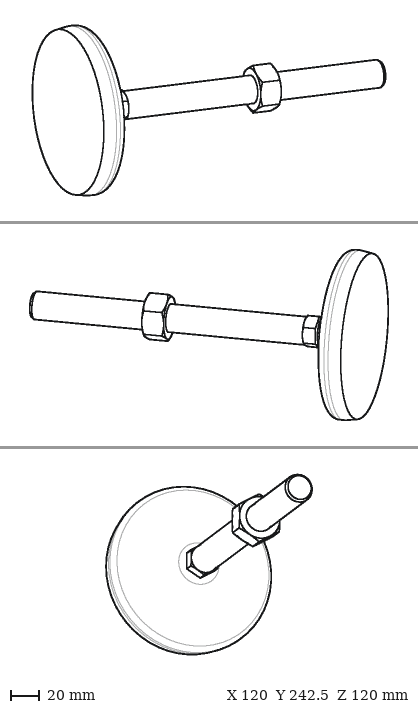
import cadquery as cq
import math


foot_radius = 60.0
sole_radius = 58.5
taper_height = 9.0
rim_height = 12.0
shoulder_radius = 56.5
shoulder_height = 17.0
crown_radius = 15.0
crown_height = 29.5
cone_sag = 2.6
top_radius = 6.5
foot_height = 32.0

neck_radius = 5.0
rod_radius = 10.0
rod_length = 200.0
rod_chamfer_depth = 1.4
rod_chamfer_length = 2.0
total_length = 242.5
rod_start = total_length - rod_length

spanner_flats = 20.0
spanner_height = 9.5
nut_flats = 30.0
nut_height = 16.0
nut_start = 142.5
hex_chamfer_angle = 30.0
hex_sides = 6
half_sector = 180.0 / hex_sides


def revolve_about_y(profile):
    return profile.close().revolve(360, (0, 0, 0), (0, 1, 0))


def make_foot():
    rim = (foot_radius, rim_height)
    shoulder = (shoulder_radius, shoulder_height)
    crown = (crown_radius, crown_height)
    top = (top_radius, foot_height)

    cone_run = shoulder_radius - crown_radius
    cone_rise = crown_height - shoulder_height
    cone_chord = math.hypot(cone_run, cone_rise)
    cone_middle = (
        (shoulder_radius + crown_radius) / 2 - cone_sag * cone_rise / cone_chord,
        (shoulder_height + crown_height) / 2 - cone_sag * cone_run / cone_chord,
    )

    profile = (
        cq.Workplane("XY")
        .lineTo(sole_radius, 0)
        .lineTo(foot_radius, taper_height)
        .lineTo(*rim)
        .tangentArcPoint(shoulder, relative=False)
        .threePointArc(cone_middle, crown)
        .tangentArcPoint(top, relative=False)
        .lineTo(0, foot_height)
    )
    return revolve_about_y(profile)


def make_spindle():
    """Neck and rod, with the far end of the rod chamfered."""
    profile = (
        cq.Workplane("XY")
        .moveTo(0, crown_height)
        .lineTo(neck_radius, crown_height)
        .lineTo(neck_radius, rod_start)
        .lineTo(rod_radius, rod_start)
        .lineTo(rod_radius, total_length - rod_chamfer_length)
        .lineTo(rod_radius - rod_chamfer_depth, total_length)
        .lineTo(0, total_length)
    )
    return revolve_about_y(profile)


def make_hexagon(flats, start, height, chamfer_both_ends):
    """Hexagon along Y with flats facing +X and -X and its corners turned off conically.

    The end farther from the foot is always chamfered, the nearer end only on request.
    """
    flat_radius = flats / 2
    corner_radius = flat_radius / math.cos(math.radians(half_sector))
    drop = (corner_radius - flat_radius) * math.tan(math.radians(hex_chamfer_angle))
    end = start + height

    prism = (
        cq.Workplane("XZ", origin=(0, start, 0))
        .transformed(rotate=(0, 0, half_sector))
        .polygon(hex_sides, 2 * corner_radius)
        .extrude(-height)
    )
    envelope = cq.Workplane("XY").moveTo(0, start)
    if chamfer_both_ends:
        envelope = envelope.lineTo(flat_radius, start).lineTo(corner_radius, start + drop)
    else:
        envelope = envelope.lineTo(corner_radius, start)
    envelope = (
        envelope
        .lineTo(corner_radius, end - drop)
        .lineTo(flat_radius, end)
        .lineTo(0, end)
    )
    return prism.intersect(revolve_about_y(envelope))


spanner_hexagon = make_hexagon(
    spanner_flats, rod_start - spanner_height, spanner_height, chamfer_both_ends=False
)
lock_nut = make_hexagon(nut_flats, nut_start, nut_height, chamfer_both_ends=True)

result = make_foot().union(make_spindle()).union(spanner_hexagon).union(lock_nut)